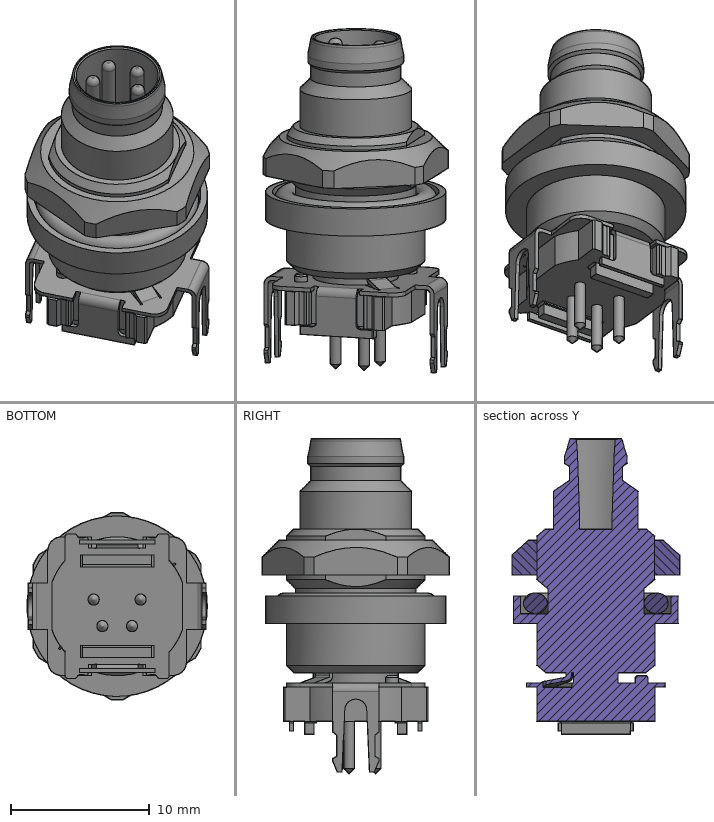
import cadquery as cq
import math


FLANGE_R = 6.5
FLANGE_BOTTOM = -2.0
BODY_R = 5.0
BODY_BOTTOM = -5.55
BODY_CHAMFER = 0.55
THREAD_NECK_R = 4.35
THREAD_RELIEF_TOP = 0.52
THREAD_TOP = 4.8
THREAD_TOP_CHAMFER = 0.5
FLATS_WIDTH = 9.0
SLEEVE_R = 4.03
SLEEVE_TOP = 7.53
SNAP_NECK_R = 3.25
SNAP_NECK_BOTTOM = SLEEVE_TOP + SLEEVE_R - SNAP_NECK_R
SNAP_R = 3.46
SNAP_BOTTOM = 9.32
SNAP_TAPER_BOTTOM = 10.05
TOP_Z = 11.33
TOP_TAPER_R = 3.25
TOP_CHAMFER_R = 3.2
TOP_CHAMFER = 0.17
SOCKET_MOUTH_R = 3.08
SOCKET_MOUTH_DEPTH = 0.07
SOCKET_TOP_R = 2.95
SOCKET_FLOOR_R = 2.85
SOCKET_FLOOR = THREAD_TOP

RING_SECTION_R = 0.75
RING_CENTRE_R = THREAD_NECK_R + RING_SECTION_R
RING_PROUD = 0.22
GROOVE_R = 6.0
GROOVE_FLOOR = RING_PROUD - 2 * RING_SECTION_R

NUT_ACROSS_FLATS = 12.1
NUT_CORNER_R = 6.75
NUT_BOTTOM = 1.5
NUT_TOP = 4.02
NUT_TOP_R = 5.52

PIN_TOP = 11.05
PIN_R = 0.5
PIN_TIP_FILLET = 0.42
TAIL_R = 0.4
TAIL_TIP = -12.82
PIN_PLACES = [(-1.07, 1.43), (1.07, 1.43), (-1.69, -0.48), (1.69, -0.48)]

SHEET = 0.3
PLATE_TOP = -6.27
PLATE_BOTTOM = PLATE_TOP - SHEET
PLATE_HALF = 5.0
PLATE_CORNER_R = 1.0
BEND_R = 0.6

LEG_OUTER_X = 6.41
LEG_HALF_WIDTH = 1.66
LEG_BOTTOM = -12.7
LEG_WAIST_HALF = 1.37
LEG_WAIST_TOP = -10.05
LEG_SHOULDER = -9.8
LEG_BARB_TOP = -11.55
LEG_BARB_SHOULDER = -11.71
LEG_BARB_LOW = -11.92
LEG_TIP_HALF = 1.33
LEG_SLOT_TOP = -7.44
LEG_SLOT_TOP_HALF = 0.79
LEG_SLOT_BOTTOM_HALF = 0.98

FLAP_OUTER_Y = 4.78
FLAP_HALF_WIDTH = 1.5
FLAP_FOOT_HALF = 2.71
FLAP_FOOT_TOP = -9.15
FLAP_FOOT_FILLET = 0.36
FLAP_BOTTOM = -9.75
RELIEF_WIDTH = 0.35

TAB_HALF_WIDTH = 0.72
TAB_ROOT_R = 4.96
TAB_RELIEF_R = 5.14
TAB_RELIEF_HALF = 0.84
TAB_SLOPE = 0.27
TAB_KNEE_INNER_FILLET = 0.12
TAB_KNEE_OUTER_FILLET = TAB_KNEE_INNER_FILLET + SHEET

HUB_R = 3.07
BLOCK_BOTTOM = -9.03
BLOCK_HALF_X = 3.75
BLOCK_HALF_Y = 5.21
BLOCK_CORNER_CHAMFER = 0.13
BULGE_R = 5.0
BULGE_HALF_X = 4.71
POST_R = 0.47
POST_TOP = -5.75
POST_BEVEL = 0.12
POST_PLACES = [(-3.3, -2.62), (3.3, 2.62)]
FOOT_HALF_X = 2.49
FOOT_INNER_Y = 2.99
FOOT_OUTER_Y = 3.69
FOOT_BOTTOM = -9.98
FOOT_STEP_INNER_Y = 2.83
FOOT_STEP_HALF_X = 2.65
FOOT_STEP_BOTTOM = -9.16

RECESS_MOUTH = (3.0, BLOCK_HALF_Y)
RECESS_LEDGE_OUTER = (2.74, 4.93)
RECESS_LEDGE_INNER = (2.38, 4.93)
RECESS_RIDGE = (2.17, 5.0)
RECESS_SIDE_TOP = (2.05, 4.75)
RECESS_FLOOR_Y = FLAP_OUTER_Y - BEND_R


def cylinder(radius, bottom, top):
    return cq.Workplane("XY", origin=(0, 0, bottom)).circle(radius).extrude(top - bottom)


def box(x_range, y_range, z_range):
    """Box between the given limits."""
    sizes = [high - low for low, high in (x_range, y_range, z_range)]
    corner = (x_range[0], y_range[0], z_range[0])
    return cq.Workplane("XY").box(*sizes, centered=False).translate(corner)


def revolve_profile(points):
    """Turn an (r, z) outline about the Z axis."""
    return cq.Workplane("XZ").polyline(points).close().revolve(360, (0, 0, 0), (0, 1, 0))


def both_ends(shape):
    """The shape together with its half-turn copy about Z."""
    return shape.union(shape.rotate((0, 0, 0), (0, 0, 1), 180))


def make_shell():
    thread_bottom = THREAD_RELIEF_TOP + BODY_R - THREAD_NECK_R
    snap_lip = SNAP_R - SNAP_NECK_R
    shell = revolve_profile([
        (0, BODY_BOTTOM),
        (BODY_R - BODY_CHAMFER, BODY_BOTTOM),
        (BODY_R, BODY_BOTTOM + BODY_CHAMFER),
        (BODY_R, FLANGE_BOTTOM),
        (FLANGE_R, FLANGE_BOTTOM),
        (FLANGE_R, 0),
        (GROOVE_R, 0),
        (GROOVE_R, GROOVE_FLOOR),
        (THREAD_NECK_R, GROOVE_FLOOR),
        (THREAD_NECK_R, THREAD_RELIEF_TOP),
        (BODY_R, thread_bottom),
        (BODY_R, THREAD_TOP - THREAD_TOP_CHAMFER),
        (BODY_R - THREAD_TOP_CHAMFER, THREAD_TOP),
        (SLEEVE_R, THREAD_TOP),
        (SLEEVE_R, SLEEVE_TOP),
        (SNAP_NECK_R, SNAP_NECK_BOTTOM),
        (SNAP_NECK_R, SNAP_BOTTOM),
        (SNAP_R, SNAP_BOTTOM + snap_lip),
        (SNAP_R, SNAP_TAPER_BOTTOM),
        (TOP_TAPER_R, TOP_Z - TOP_CHAMFER),
        (TOP_CHAMFER_R, TOP_Z),
        (SOCKET_MOUTH_R, TOP_Z),
        (SOCKET_TOP_R, TOP_Z - SOCKET_MOUTH_DEPTH),
        (SOCKET_FLOOR_R, SOCKET_FLOOR),
        (0, SOCKET_FLOOR),
    ])
    flat_waste = box((FLATS_WIDTH / 2, FLANGE_R), (-FLANGE_R, FLANGE_R), (THREAD_RELIEF_TOP, THREAD_TOP))
    return shell.cut(both_ends(flat_waste))


def make_pin():
    """Contact with a rounded mating end and a pointed solder tail."""
    contact = cylinder(PIN_R, BLOCK_BOTTOM, PIN_TOP).faces(">Z").edges().fillet(PIN_TIP_FILLET)
    tail = revolve_profile([
        (0, BLOCK_BOTTOM),
        (TAIL_R, BLOCK_BOTTOM),
        (TAIL_R, TAIL_TIP + TAIL_R),
        (0, TAIL_TIP),
    ])
    return contact.union(tail)


def make_block():
    """Insulator block with a round bulge on each X side and a recess on each Y side."""
    height = PLATE_BOTTOM - BLOCK_BOTTOM
    y_range = (-BLOCK_HALF_Y, BLOCK_HALF_Y)
    z_range = (BLOCK_BOTTOM, PLATE_BOTTOM)
    bulge = cylinder(BULGE_R, BLOCK_BOTTOM, PLATE_BOTTOM)
    bulge = bulge.intersect(box((-BULGE_HALF_X, BULGE_HALF_X), y_range, z_range))
    core = box((-BLOCK_HALF_X, BLOCK_HALF_X), y_range, z_range)
    block = core.edges("|Z").chamfer(BLOCK_CORNER_CHAMFER).union(bulge)

    half_outline = [
        RECESS_MOUTH,
        RECESS_LEDGE_OUTER,
        RECESS_LEDGE_INNER,
        RECESS_RIDGE,
        RECESS_SIDE_TOP,
        (RECESS_SIDE_TOP[0], RECESS_FLOOR_Y),
    ]
    mirrored = [(-x, y) for x, y in reversed(half_outline)]
    recess = cq.Workplane("XY", origin=(0, 0, BLOCK_BOTTOM))
    recess = recess.polyline(half_outline + mirrored).close().extrude(height)
    return block.cut(both_ends(recess))


def make_feet():
    """Two cross bars below the block, each on a step with sloped ends."""
    foot = box((-FOOT_HALF_X, FOOT_HALF_X), (FOOT_INNER_Y, FOOT_OUTER_Y), (FOOT_BOTTOM, BLOCK_BOTTOM))
    step = (
        cq.Workplane("XZ", origin=(0, FOOT_OUTER_Y, 0))
        .polyline([
            (-FOOT_STEP_HALF_X, BLOCK_BOTTOM),
            (-FOOT_HALF_X, FOOT_STEP_BOTTOM),
            (FOOT_HALF_X, FOOT_STEP_BOTTOM),
            (FOOT_STEP_HALF_X, BLOCK_BOTTOM),
        ])
        .close()
        .extrude(FOOT_OUTER_Y - FOOT_STEP_INNER_Y)
    )
    return both_ends(foot.union(step))


def make_post():
    post = cylinder(POST_R, PLATE_BOTTOM, POST_TOP)
    return post.faces(">Z").edges().chamfer(POST_BEVEL)


def bent_strip(plane, outer, bottom, half_width):
    """Sheet strip that runs out from the axis in the plate and bends down at its end."""
    inner_r = BEND_R - SHEET
    bend_start = outer - BEND_R
    bend_z = PLATE_TOP - BEND_R
    diagonal = math.sqrt(0.5)
    outer_mid = (bend_start + BEND_R * diagonal, bend_z + BEND_R * diagonal)
    inner_mid = (bend_start + inner_r * diagonal, bend_z + inner_r * diagonal)
    return (
        cq.Workplane(plane)
        .moveTo(0, PLATE_TOP)
        .lineTo(bend_start, PLATE_TOP)
        .threePointArc(outer_mid, (outer, bend_z))
        .lineTo(outer, bottom)
        .lineTo(outer - SHEET, bottom)
        .lineTo(outer - SHEET, bend_z)
        .threePointArc(inner_mid, (bend_start, PLATE_BOTTOM))
        .lineTo(0, PLATE_BOTTOM)
        .close()
        .extrude(half_width, both=True)
    )


def make_leg():
    """Forked snap-in leg on the +X side, barbed at both tips."""
    half_outline = [
        (LEG_HALF_WIDTH, PLATE_TOP),
        (LEG_HALF_WIDTH, LEG_SHOULDER),
        (LEG_WAIST_HALF, LEG_WAIST_TOP),
        (LEG_WAIST_HALF, LEG_BARB_TOP),
        (LEG_HALF_WIDTH, LEG_BARB_SHOULDER),
        (LEG_HALF_WIDTH, LEG_BARB_LOW),
        (LEG_TIP_HALF, LEG_BOTTOM),
    ]
    mirrored = [(-y, z) for y, z in reversed(half_outline)]
    outline = cq.Workplane("YZ").polyline(half_outline + mirrored).close().extrude(LEG_OUTER_X)
    slot_arc_z = LEG_SLOT_TOP - LEG_SLOT_TOP_HALF
    slot = (
        cq.Workplane("YZ")
        .moveTo(-LEG_SLOT_BOTTOM_HALF, LEG_BOTTOM)
        .lineTo(-LEG_SLOT_TOP_HALF, slot_arc_z)
        .threePointArc((0, LEG_SLOT_TOP), (LEG_SLOT_TOP_HALF, slot_arc_z))
        .lineTo(LEG_SLOT_BOTTOM_HALF, LEG_BOTTOM)
        .close()
        .extrude(LEG_OUTER_X)
    )
    leg = bent_strip("XZ", LEG_OUTER_X, LEG_BOTTOM, LEG_HALF_WIDTH)
    return leg.intersect(outline).cut(slot)


def make_flap():
    """Flap on the +Y side that widens to a foot below the block."""
    strip = bent_strip("YZ", FLAP_OUTER_Y, FLAP_BOTTOM, FLAP_FOOT_HALF)
    waste = box((FLAP_HALF_WIDTH, FLAP_FOOT_HALF), (-FLAP_OUTER_Y, FLAP_OUTER_Y), (FLAP_FOOT_TOP, PLATE_TOP))
    waste = waste.edges("|Y and <X and <Z").fillet(FLAP_FOOT_FILLET)
    return strip.cut(waste).cut(waste.mirror("YZ"))


def make_tab():
    """Contact tab along +X: lifts inward out of the plate and turns up along the hub."""
    inner_r = HUB_R
    outer_r = inner_r + SHEET
    top_z = PLATE_TOP + (TAB_ROOT_R - outer_r) * TAB_SLOPE
    bottom_z = PLATE_BOTTOM + (TAB_ROOT_R - inner_r) * TAB_SLOPE
    tab = (
        cq.Workplane("XZ")
        .polyline([
            (TAB_ROOT_R, PLATE_TOP),
            (outer_r, top_z),
            (outer_r, BODY_BOTTOM),
            (inner_r, BODY_BOTTOM),
            (inner_r, bottom_z),
            (TAB_ROOT_R, PLATE_BOTTOM),
        ])
        .close()
        .extrude(TAB_HALF_WIDTH, both=True)
    )
    outer_knee = cq.selectors.NearestToPointSelector((inner_r, 0, bottom_z))
    tab = tab.edges(outer_knee).fillet(TAB_KNEE_OUTER_FILLET)
    inner_knee = cq.selectors.NearestToPointSelector((outer_r, 0, top_z))
    return tab.edges(inner_knee).fillet(TAB_KNEE_INNER_FILLET)


def make_plate():
    """Shield plate with two legs, two flaps and two contact tabs."""
    z_range = (PLATE_BOTTOM, PLATE_TOP)
    plate = box((-PLATE_HALF, PLATE_HALF), (-PLATE_HALF, PLATE_HALF), z_range)
    plate = plate.edges("|Z").fillet(PLATE_CORNER_R)

    relief_half = FLAP_HALF_WIDTH + RELIEF_WIDTH
    flap_opening = box((-relief_half, relief_half), (RECESS_FLOOR_Y, PLATE_HALF), z_range)
    plate = plate.cut(both_ends(flap_opening)).union(both_ends(make_flap())).union(both_ends(make_leg()))

    tab_opening = box((HUB_R, TAB_ROOT_R), (-TAB_RELIEF_HALF, TAB_RELIEF_HALF), z_range)
    for side in (-1, 1):
        inner, outer = sorted((side * TAB_HALF_WIDTH, side * TAB_RELIEF_HALF))
        tab_opening = tab_opening.union(box((HUB_R, TAB_RELIEF_R), (inner, outer), z_range))
    tab_angle = -45
    opening = both_ends(tab_opening).rotate((0, 0, 0), (0, 0, 1), tab_angle)
    tabs = both_ends(make_tab()).rotate((0, 0, 0), (0, 0, 1), tab_angle)
    return plate.cut(opening).union(tabs)


def make_connector():
    connector = make_shell().union(make_block()).union(make_feet()).union(make_plate())
    connector = connector.union(cylinder(HUB_R, BLOCK_BOTTOM, BODY_BOTTOM))
    for x, y in POST_PLACES:
        connector = connector.union(make_post().translate((x, y, 0)))
    for x, y in PIN_PLACES:
        connector = connector.union(make_pin().translate((x, y, 0)))
    return connector


def make_nut():
    """Hexagon nut with two corners on Y, chamfered on top, its bore matching the flatted thread."""
    across_corners = NUT_ACROSS_FLATS / math.cos(math.pi / 6)
    hexagon = cq.Workplane("XY", origin=(0, 0, NUT_BOTTOM)).polygon(6, across_corners)
    hexagon = hexagon.extrude(NUT_TOP - NUT_BOTTOM).rotate((0, 0, 0), (0, 0, 1), 90)
    turned = revolve_profile([
        (0, NUT_BOTTOM),
        (NUT_CORNER_R, NUT_BOTTOM),
        (NUT_CORNER_R, NUT_TOP - (NUT_CORNER_R - NUT_TOP_R)),
        (NUT_TOP_R, NUT_TOP),
        (0, NUT_TOP),
    ])
    bore_limits = (-FLATS_WIDTH / 2, FLATS_WIDTH / 2), (-BODY_R, BODY_R), (NUT_BOTTOM, NUT_TOP)
    bore = cylinder(BODY_R, NUT_BOTTOM, NUT_TOP).intersect(box(*bore_limits))
    return hexagon.intersect(turned).cut(bore)


def make_sealing_ring():
    section = cq.Workplane("XZ").center(RING_CENTRE_R, GROOVE_FLOOR + RING_SECTION_R).circle(RING_SECTION_R)
    return section.revolve(360, (-RING_CENTRE_R, 0, 0), (-RING_CENTRE_R, 1, 0))


connector = make_connector()
nut = make_nut()
sealing_ring = make_sealing_ring()
result = cq.Compound.makeCompound([connector.val(), nut.val(), sealing_ring.val()])